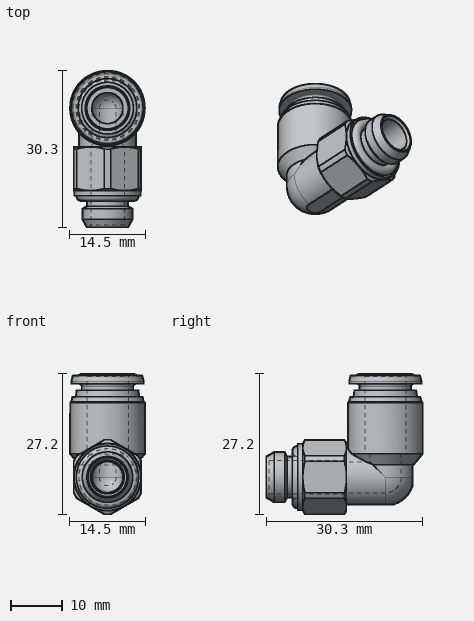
import cadquery as cq
import math


OVERALL_LENGTH = 30.25

SOCKET_TOP = 20.0
BODY_RADIUS = 14.5 / 2
BODY_BOTTOM = 4.5
BODY_TOP = 14.35
BODY_CHAMFER = 0.2
CAP_TOP = 15.5
CAP_RADIUS = 6.78
CAP_BASE_RADIUS = BODY_RADIUS - BODY_CHAMFER
RING_TOP = 16.8
RING_RADIUS = 6.0
RING_BASE_RADIUS = 6.17
NECK_RADIUS = 10.0 / 2
NECK_FILLET = 0.48
COLLAR_BOTTOM = 18.0
COLLAR_RIM_TOP = 18.5
COLLAR_RADIUS = 14.0 / 2
COLLAR_TOP = 19.63
COLLAR_TOP_RADIUS = 6.78
COLLAR_EDGE_ROUNDING = 0.18
LIP_BASE_RADIUS = 5.7
LIP_RADIUS = 5.0
TUBE_BORE_RADIUS = 8.0 / 2
TUBE_BORE_FLOOR = BODY_BOTTOM
TUBE_MOUTH_RADIUS = 4.3
TUBE_MOUTH_LENGTH = 0.5

ELBOW_RADIUS = 5.55
ELBOW_FLAT_OFFSET = 5.3
ELBOW_LEG_TOP = 2.42
PASSAGE_RADIUS = 6.0 / 2

HEX_START = 7.5
HEX_END = 15.9
HEX_ACROSS_FLATS = 13.05
HEX_CORNER_RADIUS = 7.2
HEX_FACE_RADIUS = HEX_ACROSS_FLATS / 2
HEX_CHAMFER_LENGTH = 0.4
FLANGE_END = 16.95
FLANGE_RADIUS = 12.9 / 2
SEAL_RADIUS = 6.02
RELIEF_RADIUS = 8.0 / 2
SEAL_ROUNDING = (SEAL_RADIUS - RELIEF_RADIUS) / 2
RELIEF_END = 18.95
THREAD_RADIUS = 9.75 / 2
THREAD_START = 19.45
THREAD_END = 21.45
STUD_END = OVERALL_LENGTH - BODY_RADIUS
STUD_TIP_RADIUS = 8.0 / 2
STUD_BORE_RADIUS = 6.5 / 2
STUD_BORE_END = HEX_START
STUD_MOUTH_RADIUS = 3.75
STUD_MOUTH_LENGTH = STUD_MOUTH_RADIUS - STUD_BORE_RADIUS


def revolve_z(outline):
    """Revolve a closed (radius, height) outline about the Z axis."""
    return outline.close().revolve(360, (0, 0, 0), (0, 1, 0))


def point_along_stud(shape):
    """Turn a shape built along +Z so that it lies along -Y."""
    return shape.rotate((0, 0, 0), (1, 0, 0), 90)


def cylinder(radius, start, end):
    return cq.Workplane("XY").workplane(offset=start).circle(radius).extrude(end - start)


def make_socket():
    outline = (
        cq.Workplane("XZ")
        .moveTo(0, ELBOW_LEG_TOP)
        .lineTo(ELBOW_RADIUS, ELBOW_LEG_TOP)
        .lineTo(BODY_RADIUS, BODY_BOTTOM)
        .lineTo(BODY_RADIUS, BODY_TOP)
        .lineTo(CAP_BASE_RADIUS, BODY_TOP + BODY_CHAMFER)
        .lineTo(CAP_RADIUS, CAP_TOP)
        .lineTo(RING_BASE_RADIUS, CAP_TOP)
        .lineTo(RING_RADIUS, RING_TOP)
        .lineTo(NECK_RADIUS, RING_TOP)
        .lineTo(NECK_RADIUS, COLLAR_BOTTOM - NECK_FILLET)
        .radiusArc((NECK_RADIUS + NECK_FILLET, COLLAR_BOTTOM), NECK_FILLET)
        .lineTo(COLLAR_RADIUS, COLLAR_BOTTOM)
        .lineTo(COLLAR_RADIUS, COLLAR_RIM_TOP)
        .lineTo(COLLAR_TOP_RADIUS, COLLAR_TOP - COLLAR_EDGE_ROUNDING)
        .radiusArc((COLLAR_TOP_RADIUS - COLLAR_EDGE_ROUNDING, COLLAR_TOP), -COLLAR_EDGE_ROUNDING)
        .lineTo(LIP_BASE_RADIUS, COLLAR_TOP)
        .lineTo(LIP_RADIUS, SOCKET_TOP)
        .lineTo(0, SOCKET_TOP)
    )
    return revolve_z(outline)


def make_elbow():
    """Two equal round legs meeting in a ball, flattened behind and below."""
    upright_leg = cylinder(ELBOW_RADIUS, 0, ELBOW_LEG_TOP)
    stud_leg = point_along_stud(cylinder(ELBOW_RADIUS, 0, HEX_START))
    elbow = cq.Workplane("XY").sphere(ELBOW_RADIUS).union(upright_leg).union(stud_leg)
    envelope_length = HEX_START + ELBOW_FLAT_OFFSET
    envelope_height = ELBOW_LEG_TOP + ELBOW_RADIUS + ELBOW_FLAT_OFFSET
    envelope = cq.Workplane("XY").box(
        2 * ELBOW_RADIUS, envelope_length, envelope_height, centered=(True, False, False)
    )
    return elbow.intersect(envelope.translate((0, -HEX_START, -ELBOW_FLAT_OFFSET)))


def make_hexagon():
    """Hexagon with corners pointing up and down, trimmed by a chamfered round blank."""
    sharp_diameter = HEX_ACROSS_FLATS / math.cos(math.pi / 6)
    prism = (
        cq.Workplane("XY")
        .workplane(offset=HEX_START)
        .transformed(rotate=(0, 0, 90))
        .polygon(6, sharp_diameter)
        .extrude(HEX_END - HEX_START)
    )
    blank = (
        cq.Workplane("XZ")
        .moveTo(0, HEX_START)
        .lineTo(HEX_FACE_RADIUS, HEX_START)
        .lineTo(HEX_CORNER_RADIUS, HEX_START + HEX_CHAMFER_LENGTH)
        .lineTo(HEX_CORNER_RADIUS, HEX_END - HEX_CHAMFER_LENGTH)
        .lineTo(HEX_FACE_RADIUS, HEX_END)
        .lineTo(0, HEX_END)
    )
    return point_along_stud(prism.intersect(revolve_z(blank)))


def make_stud():
    """Flange with a half-round sealing ring, then a relief groove and the plain thread cylinder."""
    outline = (
        cq.Workplane("XZ")
        .moveTo(0, HEX_END)
        .lineTo(FLANGE_RADIUS, HEX_END)
        .lineTo(FLANGE_RADIUS, FLANGE_END)
        .lineTo(SEAL_RADIUS, FLANGE_END)
        .threePointArc(
            (SEAL_RADIUS - SEAL_ROUNDING, FLANGE_END + SEAL_ROUNDING), (RELIEF_RADIUS, FLANGE_END)
        )
        .lineTo(RELIEF_RADIUS, RELIEF_END)
        .lineTo(THREAD_RADIUS, THREAD_START)
        .lineTo(THREAD_RADIUS, THREAD_END)
        .lineTo(STUD_TIP_RADIUS, STUD_END)
        .lineTo(0, STUD_END)
    )
    return point_along_stud(revolve_z(outline))


def make_bore(radius, floor, mouth, mouth_radius, mouth_length):
    """Round bore from floor to mouth that widens to a conical mouth."""
    outline = (
        cq.Workplane("XZ")
        .moveTo(0, floor)
        .lineTo(radius, floor)
        .lineTo(radius, mouth - mouth_length)
        .lineTo(mouth_radius, mouth)
        .lineTo(0, mouth)
    )
    return revolve_z(outline)


def make_cavity():
    """Tube bore and stud bore joined by a round-ended passage through the elbow."""
    tube_bore = make_bore(
        TUBE_BORE_RADIUS, TUBE_BORE_FLOOR, SOCKET_TOP, TUBE_MOUTH_RADIUS, TUBE_MOUTH_LENGTH
    )
    stud_bore = make_bore(
        STUD_BORE_RADIUS, STUD_BORE_END, STUD_END, STUD_MOUTH_RADIUS, STUD_MOUTH_LENGTH
    )
    upright_passage = cylinder(PASSAGE_RADIUS, 0, TUBE_BORE_FLOOR)
    stud_passage = cylinder(PASSAGE_RADIUS, 0, STUD_BORE_END)
    return (
        cq.Workplane("XY")
        .sphere(PASSAGE_RADIUS)
        .union(upright_passage)
        .union(tube_bore)
        .union(point_along_stud(stud_passage))
        .union(point_along_stud(stud_bore))
    )


solid_body = make_socket().union(make_elbow()).union(make_hexagon()).union(make_stud())
result = solid_body.cut(make_cavity())